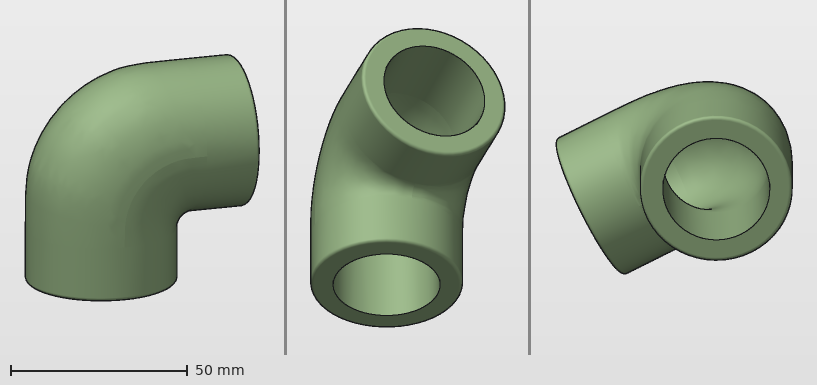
import cadquery as cq
import math

overall = 61.8
outer_dia = 43.0
bore_dia = 30.3
inner_bend_radius = 3.1
outer_bend_radius = 37.1
rim_fillet = 1.0
section_count = 9

outer_radius = outer_dia / 2
leg_reach = overall - outer_radius
bend_offset = outer_radius + inner_bend_radius
collar_length = leg_reach - bend_offset
bore_bend_radius = outer_bend_radius - outer_radius


def back_distance(angle):
    """Distance from the inner bend centre to the outside of the elbow.

    The outside is two straight runs joined by an arc that is not concentric
    with the inner bend. The angle is 0 at the vertical leg, 90 at the horizontal one.
    """
    theta = math.radians(angle)
    wall = bend_offset + outer_radius
    shift = wall - outer_bend_radius
    along = shift * (math.cos(theta) + math.sin(theta))
    arc_hit = along + math.sqrt(along**2 - 2 * shift**2 + outer_bend_radius**2)
    if arc_hit * math.sin(theta) < shift:
        return wall / math.cos(theta)
    if arc_hit * math.cos(theta) < shift:
        return wall / math.sin(theta)
    return arc_hit


def bend_section(angle):
    """Elliptical section in a plane through the inner bend centre."""
    theta = math.radians(angle)
    back = back_distance(angle)
    middle = (inner_bend_radius + back) / 2
    half_depth = (back - inner_bend_radius) / 2
    outward = cq.Vector(0, -math.cos(theta), math.sin(theta))
    centre = cq.Vector(0, bend_offset, -bend_offset) + outward * middle
    plane = cq.Plane(
        origin=centre.toTuple(),
        xDir=(1, 0, 0),
        normal=(0, math.sin(theta), math.cos(theta)),
    )
    return cq.Workplane(plane).ellipse(outer_radius, half_depth).val()


def make_bend():
    step = 90 / (section_count - 1)
    sections = [bend_section(i * step) for i in range(section_count)]
    return cq.Workplane(cq.Solid.makeLoft(sections))


def make_collars():
    vertical = (
        cq.Workplane("XY", origin=(0, 0, -leg_reach))
        .circle(outer_radius)
        .extrude(collar_length)
        .faces("<Z")
        .edges()
        .fillet(rim_fillet)
    )
    horizontal = (
        cq.Workplane("XZ", origin=(0, leg_reach, 0))
        .circle(outer_radius)
        .extrude(collar_length)
        .faces(">Y")
        .edges()
        .fillet(rim_fillet)
    )
    return vertical, horizontal


def make_bore():
    """Constant round passage following the outer bend."""
    midpoint = bore_bend_radius * (1 - math.sqrt(0.5))
    path = (
        cq.Workplane("YZ")
        .moveTo(0, -leg_reach)
        .lineTo(0, -bore_bend_radius)
        .threePointArc((midpoint, -midpoint), (bore_bend_radius, 0))
        .lineTo(leg_reach, 0)
    )
    return cq.Workplane("XY", origin=(0, 0, -leg_reach)).circle(bore_dia / 2).sweep(path)


vertical_collar, horizontal_collar = make_collars()
result = make_bend().union(vertical_collar).union(horizontal_collar).cut(make_bore())